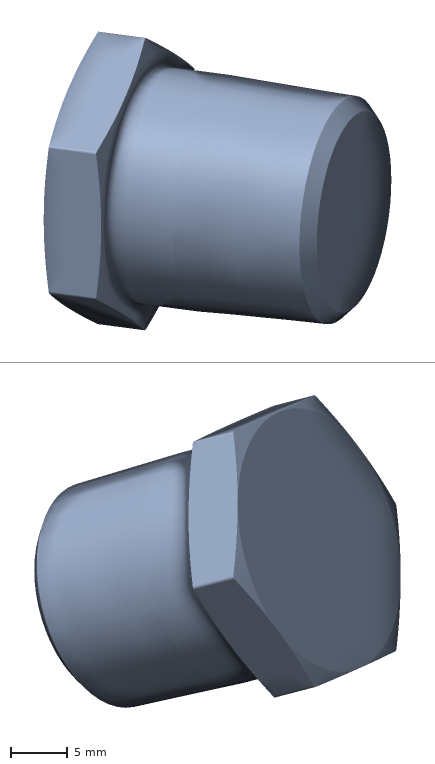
import cadquery as cq
import math

total_length = 25.0

head_sides = 6
head_thickness = 5.5
across_flats = 24.0
corner_radius = 0.3
head_bevel_angle = 15.0

neck_diameter = 21.27
neck_end = 11.8
root_radius = 0.5
taper_ratio = 1 / 16
tip_chamfer = 1.2

flat_reach = across_flats / 2
corner_reach = flat_reach / math.cos(math.pi / head_sides)
bevel_depth = (corner_reach - flat_reach) * math.tan(math.radians(head_bevel_angle))
neck_radius = neck_diameter / 2
root_end = head_thickness + root_radius
taper_end = total_length - tip_chamfer
taper_end_radius = neck_radius - (taper_end - neck_end) * taper_ratio / 2


def turn(profile):
    """Close a half profile in the XY plane and turn it about the X axis."""
    return profile.close().revolve(360, (0, 0, 0), (1, 0, 0))


def hexagon_prism():
    """Hexagon with rounded edges, corners pointing to +Z and -Z."""
    prism = cq.Workplane("YZ").polygon(head_sides, 2 * corner_reach).extrude(head_thickness)
    prism = prism.rotate((0, 0, 0), (1, 0, 0), 90)
    return prism.edges("|X").fillet(corner_radius)


def bevel_envelope():
    """Turned body that bevels the hexagon corners at both faces."""
    profile = (
        cq.Workplane("XY")
        .lineTo(0, flat_reach)
        .lineTo(bevel_depth, corner_reach)
        .lineTo(head_thickness - bevel_depth, corner_reach)
        .lineTo(head_thickness, flat_reach)
        .lineTo(head_thickness, 0)
    )
    return turn(profile)


def shank():
    """Turned shank: root fillet, straight neck, taper and chamfered tip."""
    profile = (
        cq.Workplane("XY")
        .moveTo(head_thickness, 0)
        .lineTo(head_thickness, neck_radius + root_radius)
        .radiusArc((root_end, neck_radius), -root_radius)
        .lineTo(neck_end, neck_radius)
        .lineTo(taper_end, taper_end_radius)
        .lineTo(total_length, taper_end_radius - tip_chamfer)
        .lineTo(total_length, 0)
    )
    return turn(profile)


head = hexagon_prism().intersect(bevel_envelope())
result = head.union(shank())